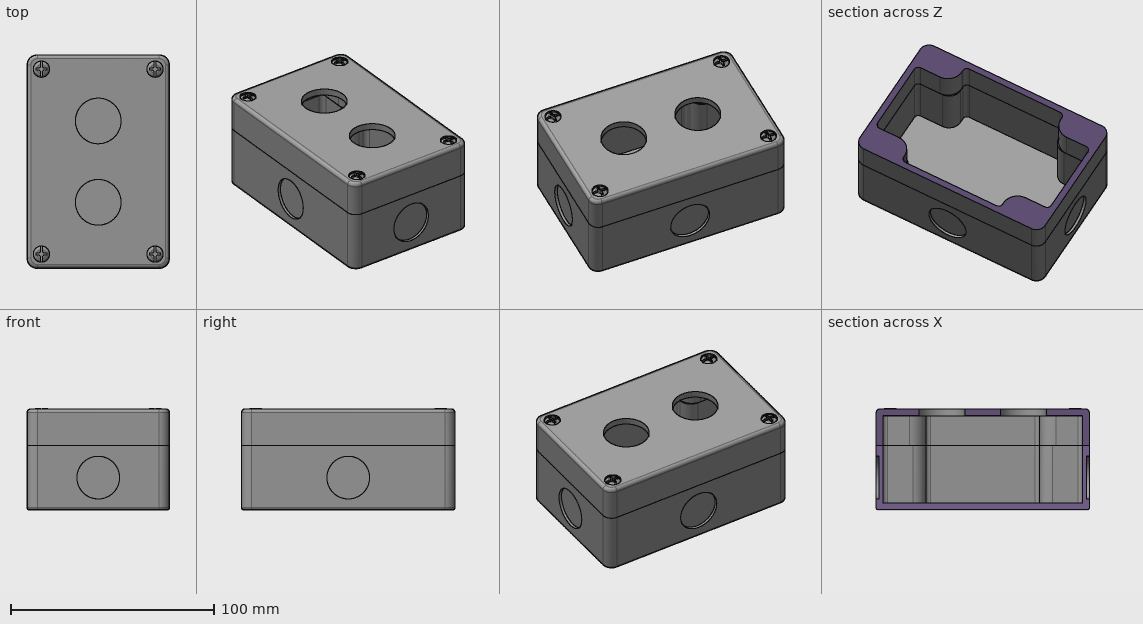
import cadquery as cq

WIDTH = 70.0
LENGTH = 105.0
LID_TOP = 49.7
SPLIT_HEIGHT = 31.7
CORNER_RADIUS = 5.0
TOP_ROUND = 1.9
BOTTOM_ROUND = 1.0

WALL = 3.5
CAVITY_WIDTH = WIDTH - 2 * WALL
CAVITY_LENGTH = LENGTH - 2 * WALL
COLUMN_INNER_X = 20.4
COLUMN_INNER_Y = 27.9
COLUMN_ROOT_RADIUS = 2.3
BASE_COLUMN_RADIUS = 6.4
LID_COLUMN_RADIUS = 8.0
CORNER_MARGIN = 0.1

KNOCKOUT_DIAMETER = 21.0
KNOCKOUT_DEPTH = 1.5
KNOCKOUT_HEIGHT = SPLIT_HEIGHT / 2

BUTTON_DIAMETER = 22.5
BUTTON_PITCH = 40.0

SCREW_SPACING_X = 55.9
SCREW_SPACING_Y = 90.9
SCREW_DIAMETER = 8.0
SCREW_PROUD = 0.2
SCREW_HEIGHT = 3.5
SCREW_ROUND = 1.8
SLOT_WIDTH = 1.0
SLOT_DEPTH = 1.5
SHORT_SLOT_LENGTH = 5.5
SOCKET_SIDE = 2.3
SOCKET_ANGLE = 45
SCREW_TOP = LID_TOP + SCREW_PROUD
SCREW_SEAT = SCREW_TOP - SCREW_HEIGHT


def outer_block(bottom, top):
    """Block with the rounded outline of the enclosure."""
    block = cq.Workplane("XY").workplane(offset=bottom).rect(WIDTH, LENGTH).extrude(top - bottom)
    return block.edges("|Z").fillet(CORNER_RADIUS)


def cavity(bottom, top, column_radius):
    """Cross-shaped hollow that leaves a solid column in each corner for a screw."""
    height = top - bottom
    plane = cq.Workplane("XY").workplane(offset=bottom)
    along_y = plane.rect(2 * COLUMN_INNER_X, CAVITY_LENGTH).extrude(height)
    along_x = plane.rect(CAVITY_WIDTH, 2 * COLUMN_INNER_Y).extrude(height)
    hollow = along_y.union(along_x)

    end_faces = "<Y or >Y or <X or >X"
    hollow = hollow.faces(end_faces).edges("|Z").fillet(COLUMN_ROOT_RADIUS)
    column_corners = cq.selectors.BoxSelector(
        (-COLUMN_INNER_X - CORNER_MARGIN, -COLUMN_INNER_Y - CORNER_MARGIN, bottom),
        (COLUMN_INNER_X + CORNER_MARGIN, COLUMN_INNER_Y + CORNER_MARGIN, top),
    )
    return hollow.edges("|Z").edges(column_corners).fillet(column_radius)


def knockouts(plane_name, wall_distance):
    """Pair of discs that recess two opposite outer walls."""
    recess_floor = wall_distance - KNOCKOUT_DEPTH
    discs = [
        cq.Workplane(plane_name)
        .workplane(offset=side * recess_floor)
        .center(0, KNOCKOUT_HEIGHT)
        .circle(KNOCKOUT_DIAMETER / 2)
        .extrude(side * KNOCKOUT_DEPTH)
        for side in (-1, 1)
    ]
    return discs[0].add(discs[1]).combine()


def make_base():
    body = outer_block(0, SPLIT_HEIGHT).faces("<Z").edges().fillet(BOTTOM_ROUND)
    body = body.cut(cavity(WALL, SPLIT_HEIGHT, BASE_COLUMN_RADIUS))
    body = body.cut(knockouts("XZ", LENGTH / 2))
    return body.cut(knockouts("YZ", WIDTH / 2))


def make_lid():
    body = outer_block(SPLIT_HEIGHT, LID_TOP).faces(">Z").edges().fillet(TOP_ROUND)
    body = body.cut(cavity(SPLIT_HEIGHT, LID_TOP - WALL, LID_COLUMN_RADIUS))

    buttons = (
        cq.Workplane("XY")
        .workplane(offset=SPLIT_HEIGHT)
        .rarray(1, BUTTON_PITCH, 1, 2)
        .circle(BUTTON_DIAMETER / 2)
        .extrude(LID_TOP - SPLIT_HEIGHT)
    )
    screw_recesses = (
        cq.Workplane("XY")
        .workplane(offset=SCREW_SEAT)
        .rect(SCREW_SPACING_X, SCREW_SPACING_Y, forConstruction=True)
        .vertices()
        .circle(SCREW_DIAMETER / 2)
        .extrude(SCREW_HEIGHT)
    )
    return body.cut(buttons).cut(screw_recesses)


def make_screw(x, y):
    """Round-edged screw head with a full-width slot, a shorter cross slot and a turned square socket."""
    seat = cq.Workplane("XY", origin=(x, y, SCREW_SEAT))
    head = seat.circle(SCREW_DIAMETER / 2).extrude(SCREW_HEIGHT)
    head = head.faces(">Z").edges().fillet(SCREW_ROUND)

    drive_floor = cq.Workplane("XY", origin=(x, y, SCREW_TOP - SLOT_DEPTH))
    full_slot = drive_floor.rect(SLOT_WIDTH, SCREW_DIAMETER).extrude(SLOT_DEPTH)
    short_slot = drive_floor.rect(SHORT_SLOT_LENGTH, SLOT_WIDTH).extrude(SLOT_DEPTH)
    socket_floor = drive_floor.transformed(rotate=(0, 0, SOCKET_ANGLE))
    socket = socket_floor.rect(SOCKET_SIDE, SOCKET_SIDE).extrude(SLOT_DEPTH)
    return head.cut(full_slot).cut(short_slot).cut(socket)


base = make_base()
lid = make_lid()
screws = [
    make_screw(side_x * SCREW_SPACING_X / 2, side_y * SCREW_SPACING_Y / 2)
    for side_x in (-1, 1)
    for side_y in (-1, 1)
]

result = cq.Compound.makeCompound([base.val(), lid.val(), *[screw.val() for screw in screws]])